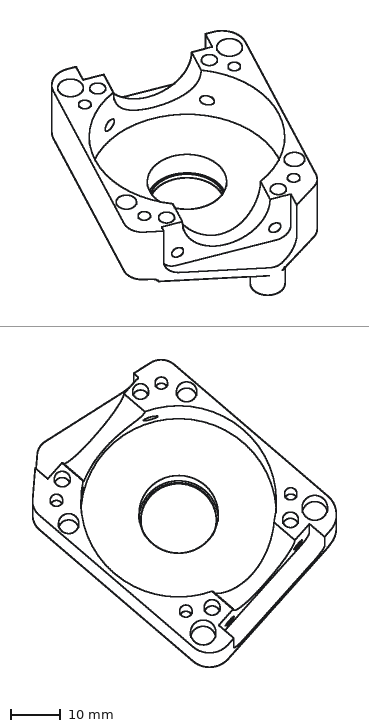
import cadquery as cq
import math


overall_length = 56.85
body_height = 13.9
half_width = 20.55
left_side_x = -26.85
left_corner_radius = 5.0
right_corner_radius = 4.0
right_corner_x = 19.15
tip_radius = 3.5
tip_x = overall_length + left_side_x - tip_radius
tip_y = 7.5

hub_radius = 12.9
hub_height = 2.35
spigot_radius = 10.2
total_depth = 5.4

chamber_radius = 19.6
chamber_floor_z = 1.5
bearing_radius = 7.95
lip_radius = 7.55
lip_top_z = -3.65
underside_radius = 9.0
underside_depth = 0.75

recess_wall_x = 22.8
recess_half_width = 13.8
recess_floor_z = 2.2
recess_corner_radius = 3.05
channel_radius = 9.4
side_hole_radius = 1.25
side_hole_y = 10.4
side_hole_z = 5.75

top_holes = [
    (-21.45, 17.0, 2.55),
    (-15.9, 16.0, 1.25),
    (-19.4, 11.95, 1.6),
    (13.6, 17.95, 2.05),
    (18.6, 16.0, 1.25),
    (20.6, 11.95, 1.6),
]
hole_depth = 6.0
drill_tip_angle = 118

relief_height = 0.75
relief_flat_y = -16.1
relief_radius = 2 * relief_height

clearance = 5.7


def rounded_outline(corners):
    """Closed outline wrapped counter-clockwise around circles given as (x, y, radius)."""
    count = len(corners)
    normals = []
    for i, (x0, y0, r0) in enumerate(corners):
        x1, y1, r1 = corners[(i + 1) % count]
        heading = math.atan2(y1 - y0, x1 - x0)
        tilt = math.acos((r0 - r1) / math.hypot(x1 - x0, y1 - y0))
        normals.append(heading - tilt)

    def rim_point(corner, angle):
        x, y, radius = corner
        return (x + radius * math.cos(angle), y + radius * math.sin(angle))

    outline = cq.Workplane("XY").moveTo(*rim_point(corners[0], normals[0]))
    for i in range(count):
        corner = corners[(i + 1) % count]
        start = normals[i]
        end = normals[(i + 1) % count]
        sweep = (end - start) % (2 * math.pi)
        outline = outline.lineTo(*rim_point(corner, start))
        outline = outline.threePointArc(rim_point(corner, start + sweep / 2), rim_point(corner, end))
    return outline.close()


def cylinder(radius, bottom_z, top_z, x=0.0, y=0.0):
    """Upright cylinder between two heights."""
    base = cq.Workplane("XY").workplane(offset=bottom_z).center(x, y)
    return base.circle(radius).extrude(top_z - bottom_z)


def make_body():
    left_x = left_side_x + left_corner_radius
    left_y = half_width - left_corner_radius
    right_y = half_width - right_corner_radius
    corners = [
        (left_x, -left_y, left_corner_radius),
        (right_corner_x, -right_y, right_corner_radius),
        (tip_x, tip_y, tip_radius),
        (right_corner_x, right_y, right_corner_radius),
        (left_x, left_y, left_corner_radius),
    ]
    return rounded_outline(corners).extrude(body_height)


def make_edge_relief():
    """Strip under the -Y side, ending inward in a concave arc."""
    arc_width = math.sqrt(relief_radius**2 - (relief_radius - relief_height) ** 2)
    mid_angle = math.asin(arc_width / relief_radius) / 2
    mid_y = relief_flat_y + relief_radius * math.sin(mid_angle)
    mid_z = relief_height - relief_radius * (1 - math.cos(mid_angle))
    profile = (
        cq.Workplane("YZ")
        .workplane(offset=left_side_x - clearance)
        .moveTo(-half_width - clearance, 0)
        .lineTo(-half_width - clearance, relief_height)
        .lineTo(relief_flat_y, relief_height)
        .threePointArc((mid_y, mid_z), (relief_flat_y + arc_width, 0))
        .close()
    )
    return profile.extrude(overall_length + 2 * clearance)


def make_end_recess(side):
    """Open-topped recess outside the end wall; side is -1 or +1 along X."""
    length = 2 * clearance
    height = body_height - recess_floor_z + clearance
    block = cq.Workplane("XY").box(length, 2 * recess_half_width, height)
    block = block.edges("|X and <Z").fillet(recess_corner_radius)
    return block.translate((side * (recess_wall_x + length / 2), 0, recess_floor_z + height / 2))


def make_cross_cylinders(radius, points):
    """Cylinders along X through both end walls; points are (y, z)."""
    plane = cq.Workplane("YZ").workplane(offset=-recess_wall_x - clearance)
    return plane.pushPoints(points).circle(radius).extrude(2 * (recess_wall_x + clearance))


def make_drilled_hole(x, y, radius):
    """Blind hole from the top face with a conical bottom."""
    tip_length = radius / math.tan(math.radians(drill_tip_angle / 2))
    profile = (
        cq.Workplane("XZ")
        .lineTo(radius, 0)
        .lineTo(radius, -hole_depth)
        .lineTo(0, -hole_depth - tip_length)
        .close()
    )
    drill = profile.revolve(360, (0, 0, 0), (0, 1, 0))
    return drill.translate((x, y, body_height))


result = make_body().cut(make_edge_relief())

result = result.union(cylinder(hub_radius, -hub_height, chamber_floor_z))
result = result.union(cylinder(spigot_radius, -total_depth, chamber_floor_z))
result = result.union(cylinder(tip_radius, -total_depth, recess_floor_z, tip_x, tip_y))

result = result.cut(cylinder(chamber_radius, chamber_floor_z, body_height))
result = result.cut(cylinder(bearing_radius, lip_top_z, chamber_floor_z))
result = result.cut(cylinder(lip_radius, -total_depth, chamber_floor_z))
result = result.cut(cylinder(underside_radius, -total_depth, underside_depth - total_depth))

result = result.cut(make_cross_cylinders(channel_radius, [(0, body_height)]))
for side in (-1, 1):
    result = result.cut(make_end_recess(side))
side_hole_points = [(-side_hole_y, side_hole_z), (side_hole_y, side_hole_z)]
result = result.cut(make_cross_cylinders(side_hole_radius, side_hole_points))

for hole_x, hole_y, hole_radius in top_holes:
    for side in (-1, 1):
        result = result.cut(make_drilled_hole(hole_x, side * hole_y, hole_radius))